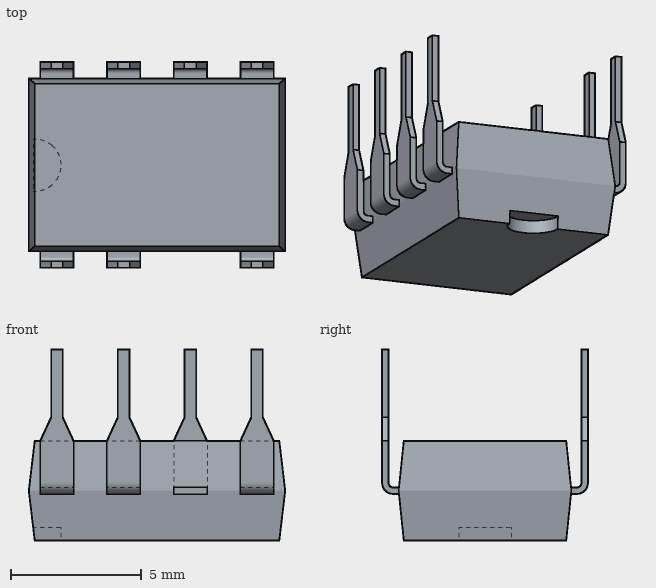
import cadquery as cq

body_length = 9.8
body_width = 6.61
body_height = 3.8
parting_height = body_height / 2
end_inset = 0.23
side_inset = 0.2

notch_diameter = 2.0
notch_depth = 0.5

lead_span = 7.87
lead_top = 7.3
lead_thickness = 0.25
lead_pitch = 2.55
shoulder_width = 1.28
tip_width = 0.45
shoulder_top = body_height
tip_start = 4.7
bend_inner_radius = 0.18
bend_outer_radius = bend_inner_radius + lead_thickness
lead_bottom = parting_height - lead_thickness / 2
lead_embed = 0.29

leads_per_side = 4
cut_lead = 2


def make_body_half(outer_height):
    """Frustum from the parting plane to the smaller rectangle at outer_height."""
    return (
        cq.Workplane("XY")
        .workplane(offset=parting_height)
        .rect(body_length, body_width)
        .workplane(offset=outer_height - parting_height)
        .rect(body_length - 2 * end_inset, body_width - 2 * side_inset)
        .loft(ruled=True)
    )


def make_notch():
    """Cylinder on the lower edge of the -X end, leaving a half-round recess."""
    lower_edge_x = -(body_length / 2 - end_inset)
    return (
        cq.Workplane("XY")
        .center(lower_edge_x, 0)
        .circle(notch_diameter / 2)
        .extrude(notch_depth)
    )


def make_lead():
    """Bent lead centred on X = 0, on the -Y side."""
    outer_y = -lead_span / 2
    root_y = -body_width / 2 + lead_embed
    bent_strip = (
        cq.Workplane("YZ")
        .moveTo(root_y, lead_bottom)
        .lineTo(outer_y + bend_outer_radius, lead_bottom)
        .radiusArc((outer_y, lead_bottom + bend_outer_radius), bend_outer_radius)
        .lineTo(outer_y, lead_top)
        .lineTo(outer_y + lead_thickness, lead_top)
        .lineTo(outer_y + lead_thickness, lead_bottom + bend_outer_radius)
        .radiusArc((outer_y + bend_outer_radius, lead_bottom + lead_thickness), -bend_inner_radius)
        .lineTo(root_y, lead_bottom + lead_thickness)
        .close()
        .extrude(shoulder_width / 2, both=True)
    )
    front_outline = (
        cq.Workplane("XZ")
        .moveTo(-shoulder_width / 2, lead_bottom)
        .lineTo(-shoulder_width / 2, shoulder_top)
        .lineTo(-tip_width / 2, tip_start)
        .lineTo(-tip_width / 2, lead_top)
        .lineTo(tip_width / 2, lead_top)
        .lineTo(tip_width / 2, tip_start)
        .lineTo(shoulder_width / 2, shoulder_top)
        .lineTo(shoulder_width / 2, lead_bottom)
        .close()
        .extrude(lead_span / 2)
    )
    return bent_strip.intersect(front_outline)


def make_lead_stub():
    """Trimmed lead centred on X = 0, ending at the widest line of the -Y side."""
    return (
        cq.Workplane("XY")
        .box(shoulder_width, lead_embed, lead_thickness)
        .translate((0, (lead_embed - body_width) / 2, parting_height))
    )


result = make_body_half(body_height).union(make_body_half(0)).cut(make_notch())

front_lead = make_lead()
back_lead = front_lead.mirror("XZ")
for index in range(leads_per_side):
    lead_x = (index - (leads_per_side - 1) / 2) * lead_pitch
    front_part = make_lead_stub() if index == cut_lead else front_lead
    result = result.union(front_part.translate((lead_x, 0, 0)))
    result = result.union(back_lead.translate((lead_x, 0, 0)))